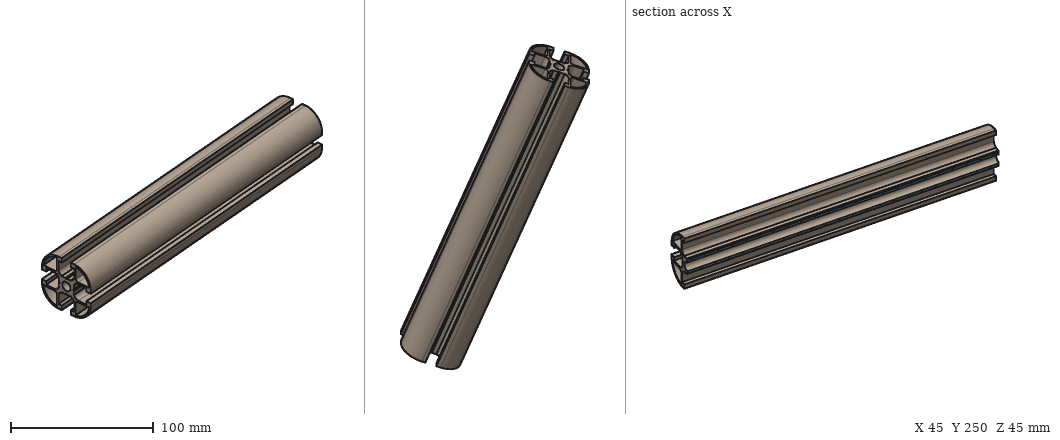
import cadquery as cq

length = 250.0
width = 45.0
bore_diameter = 7.5

corner_radius = 15.5
skin_thickness = 1.5

slot_opening = 8.2
slot_width = 14.2
lip_thickness = 4.0
slot_floor = 7.0
slot_floor_fillet = 4.0
groove_width = 1.5
groove_depth = 0.8

web_thickness = 1.5
pocket_fillet = 2.0

half_width = width / 2
arc_center = half_width - corner_radius
pocket_wall = slot_width / 2 + web_thickness


def slot_cutter():
    """T-slot opening towards +Z, with a V centring groove in its floor."""
    lip_bottom = half_width - lip_thickness
    chamber_height = lip_bottom - slot_floor
    chamber = (
        cq.Workplane("XY")
        .box(slot_width, length, chamber_height)
        .translate((0, 0, slot_floor + chamber_height / 2))
        .edges("|Y and <Z")
        .fillet(slot_floor_fillet)
    )
    throat_height = half_width - slot_floor
    throat = (
        cq.Workplane("XY")
        .box(slot_opening, length, throat_height)
        .translate((0, 0, slot_floor + throat_height / 2))
    )
    groove = (
        cq.Workplane("XZ")
        .moveTo(-groove_width / 2, slot_floor)
        .lineTo(0, slot_floor - groove_depth)
        .lineTo(groove_width / 2, slot_floor)
        .close()
        .extrude(length / 2, both=True)
    )
    return chamber.union(throat).union(groove)


def pocket_cutter():
    """Hollow in the +X +Z corner, bounded by two webs and the rounded skin."""
    reach = half_width - skin_thickness
    core = (
        cq.Workplane("XZ")
        .rect(2 * reach, 2 * reach)
        .extrude(length / 2, both=True)
        .edges("|Y")
        .fillet(reach - arc_center)
    )
    corner = (
        cq.Workplane("XZ")
        .moveTo(pocket_wall, pocket_wall)
        .rect(half_width, half_width, centered=False)
        .extrude(length / 2, both=True)
    )
    inner_corner = cq.selectors.NearestToPointSelector((pocket_wall, 0, pocket_wall))
    return core.intersect(corner).edges("|Y").edges(inner_corner).fillet(pocket_fillet)


body = (
    cq.Workplane("XY")
    .box(width, length, width)
    .edges("|Y")
    .fillet(corner_radius)
)
bore = cq.Workplane("XZ").circle(bore_diameter / 2).extrude(length / 2, both=True)
body = body.cut(bore)

slot = slot_cutter()
pocket = pocket_cutter()
for angle in (0, 90, 180, 270):
    body = body.cut(slot.rotate((0, 0, 0), (0, 1, 0), angle))
    body = body.cut(pocket.rotate((0, 0, 0), (0, 1, 0), angle))

result = body